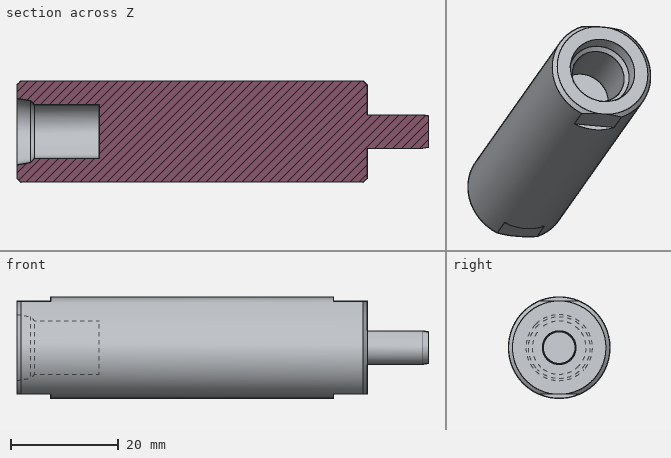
import cadquery as cq

total_length = 76.4
body_length = 65.0
body_diameter = 18.9
body_chamfer = 0.8

flat_length = 6.3
across_flats = 17.3

pin_diameter = 6.3
pin_tip_diameter = 5.9
pin_tip_length = 1.15

mouth_diameter = 12.3
shoulder_diameter = 11.45
bore_diameter = 9.9
mouth_depth = 2.5
shoulder_depth = (shoulder_diameter - bore_diameter) / 2
bore_end = 15.3


def revolve_about_x(profile):
    """Turn a closed (x, radius) outline around the X axis."""
    outline = cq.Workplane("XY").polyline(profile).close()
    return outline.revolve(360, (0, 0, 0), (1, 0, 0))


def make_body():
    cylinder = cq.Workplane("YZ").circle(body_diameter / 2).extrude(body_length)
    return cylinder.faces("<X or >X").chamfer(body_chamfer)


def make_pin():
    return revolve_about_x([
        (body_length, 0),
        (body_length, pin_diameter / 2),
        (total_length - pin_tip_length, pin_diameter / 2),
        (total_length, pin_tip_diameter / 2),
        (total_length, 0),
    ])


def make_socket():
    shoulder_end = mouth_depth + shoulder_depth
    return revolve_about_x([
        (0, 0),
        (0, mouth_diameter / 2),
        (mouth_depth, shoulder_diameter / 2),
        (shoulder_end, bore_diameter / 2),
        (bore_end, bore_diameter / 2),
        (bore_end, 0),
    ])


def cut_flats(part):
    """Remove the material outside the flats at each end of the body."""
    cut_height = body_diameter - across_flats
    cutter_z = (across_flats + cut_height) / 2
    for x in (flat_length / 2, body_length - flat_length / 2):
        for side in (1, -1):
            cutter = cq.Workplane("XY").box(flat_length, body_diameter, cut_height)
            part = part.cut(cutter.translate((x, 0, side * cutter_z)))
    return part


body = cut_flats(make_body())
result = body.union(make_pin()).cut(make_socket())